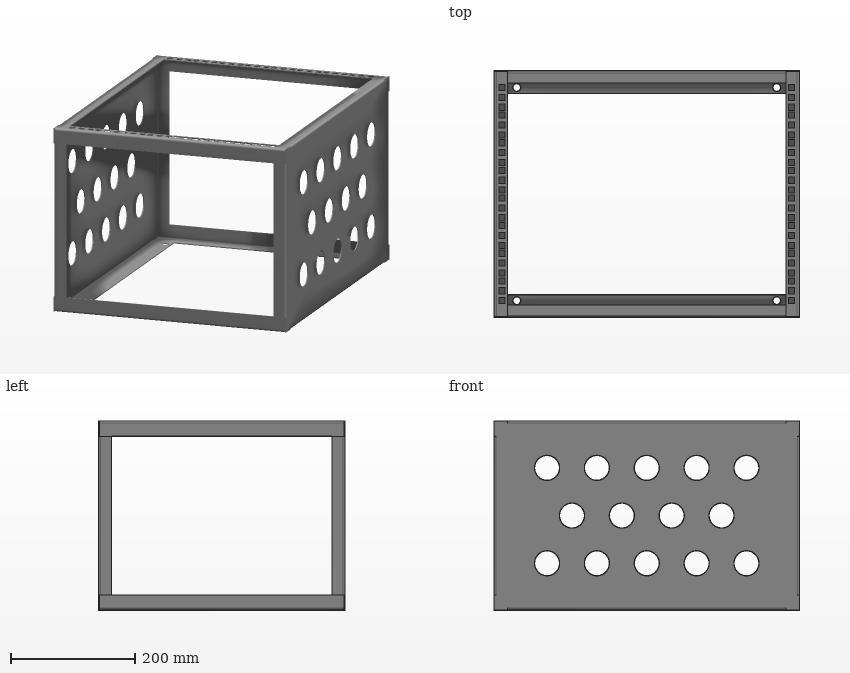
import cadquery as cq
import math

length = 492.0
depth = 397.0
height = 305.0

sheet = 1.6
rail_bend_radius = 4.0
panel_bend_radius = 3.5

rail_top_leg = 22.0
rail_side_leg = 25.0
rail_length = depth - 2 * sheet

square_hole = 10.0
square_hole_inset = 13.5
hole_groups = 8
hole_row_length = 343.0
narrow_to_wide = 4 / 5
wide_gaps_per_group = 2
group_to_wide = wide_gaps_per_group + narrow_to_wide
wide_gap = hole_row_length / ((hole_groups - 1) * group_to_wide + wide_gaps_per_group)
group_pitch = group_to_wide * wide_gap

side_flange = 21.0
top_flange = 19.5
bottom_flange = 37.0

face_strip = 2 * panel_bend_radius
horizontal_flange_span = length - 2 * rail_top_leg
vertical_flange_span = height - 2 * rail_side_leg

vent_diameter = 40.0
vent_pitch = 80.0
vent_row_pitch = 76.8
vent_row_counts = [5, 4, 5]

mount_diameter = 12.5
mount_spacing = 418.0
mount_inset = 27.0


def angle_section(plane, leg_a, leg_b, bend_radius):
    """Bent angle outline: outer corner at the origin, legs along the plane's first and second axes."""
    bend_middle = math.sqrt(0.5)
    inner_bend_radius = bend_radius - sheet
    outer_mid = bend_radius * (1 - bend_middle)
    inner_mid = bend_radius - inner_bend_radius * bend_middle
    return (
        cq.Workplane(plane)
        .moveTo(leg_a, 0)
        .lineTo(leg_a, sheet)
        .lineTo(bend_radius, sheet)
        .threePointArc((inner_mid, inner_mid), (sheet, bend_radius))
        .lineTo(sheet, leg_b)
        .lineTo(0, leg_b)
        .lineTo(0, bend_radius)
        .threePointArc((outer_mid, outer_mid), (bend_radius, 0))
        .close()
    )


def make_base_rail():
    """Plain rail for the lower corner at -X."""
    section = angle_section("XZ", rail_top_leg, rail_side_leg, rail_bend_radius)
    return section.extrude(rail_length / 2, both=True).translate((-length / 2, 0, -height / 2))


def make_rack_rail():
    """Rail for the upper corner at -X, with its top leg punched by a row of square holes."""
    centers = [
        (-length / 2 + square_hole_inset, -hole_row_length / 2 + group * group_pitch + hole * wide_gap)
        for group in range(hole_groups)
        for hole in range(wide_gaps_per_group + 1)
    ]
    punches = (
        cq.Workplane("XY")
        .workplane(offset=height / 2 - sheet)
        .pushPoints(centers)
        .rect(square_hole, square_hole)
        .extrude(sheet)
    )
    return make_base_rail().mirror("XY").cut(punches)


def make_face():
    """Flat sheet of the -Y panel: full-size square corners, rims between them cut back for the bends."""
    face = cq.Workplane("XY").box(length, sheet, height)
    rim_x = (length - panel_bend_radius) / 2
    rim_z = (height - panel_bend_radius) / 2
    horizontal_rims = cq.Workplane("XY").pushPoints([(0, 0, -rim_z), (0, 0, rim_z)])
    vertical_rims = cq.Workplane("XY").pushPoints([(-rim_x, 0, 0), (rim_x, 0, 0)])
    face = face.cut(horizontal_rims.box(horizontal_flange_span, sheet, panel_bend_radius))
    face = face.cut(vertical_rims.box(panel_bend_radius, sheet, vertical_flange_span))
    return face.translate((0, (sheet - depth) / 2, 0))


def make_bottom_flange(width):
    """Bottom flange of the -Y panel, with its bend and a strip of the face."""
    section = angle_section("YZ", width, face_strip, panel_bend_radius)
    return section.extrude(horizontal_flange_span / 2, both=True).translate((0, -depth / 2, -height / 2))


def make_side_flange():
    """-X flange of the -Y panel, with its bend and a strip of the face."""
    section = angle_section("XY", face_strip, side_flange, panel_bend_radius)
    return section.extrude(vertical_flange_span / 2, both=True).translate((-length / 2, -depth / 2, 0))


def vent_centers():
    """Hole centers of all rows, each row centered on the panel."""
    middle_row = (len(vent_row_counts) - 1) / 2
    return [
        ((column - (count - 1) / 2) * vent_pitch, (row - middle_row) * vent_row_pitch)
        for row, count in enumerate(vent_row_counts)
        for column in range(count)
    ]


def make_panel():
    """Panel at -Y: flat face with a flange on each edge, vent holes and mounting holes."""
    side = make_side_flange()
    panel = (
        make_face()
        .union(side)
        .union(side.mirror("YZ"))
        .union(make_bottom_flange(bottom_flange))
        .union(make_bottom_flange(top_flange).mirror("XY"))
    )
    vents = (
        cq.Workplane("XZ", origin=(0, sheet - depth / 2, 0))
        .pushPoints(vent_centers())
        .circle(vent_diameter / 2)
        .extrude(sheet)
    )
    mounts = (
        cq.Workplane("XY", origin=(0, mount_inset - depth / 2, -height / 2))
        .pushPoints([(-mount_spacing / 2, 0), (mount_spacing / 2, 0)])
        .circle(mount_diameter / 2)
        .extrude(sheet)
    )
    return panel.cut(vents).cut(mounts)


bodies = []
for body, mirror_plane in ((make_panel(), "XZ"), (make_base_rail(), "YZ"), (make_rack_rail(), "YZ")):
    bodies.append(body.val())
    bodies.append(body.mirror(mirror_plane).val())

result = cq.Compound.makeCompound(bodies)